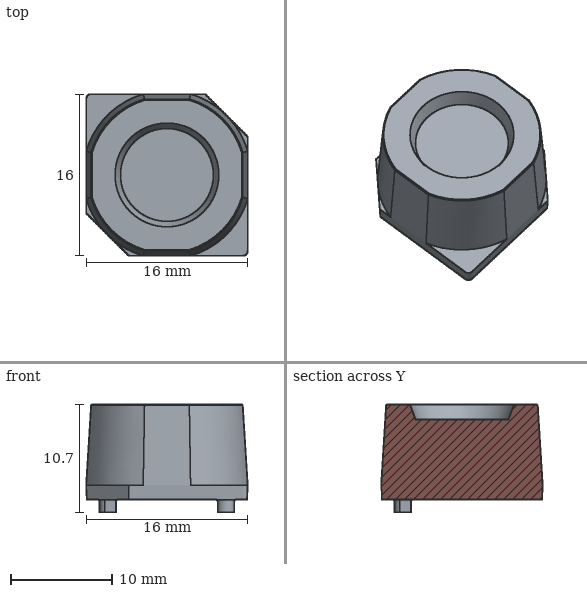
import cadquery as cq
import math

width = 16.0
total_height = 10.69

base_bottom = 1.28
base_top = 2.69
base_inset = 0.06
corner_cut = 4.2
corner_radius = 0.48

housing_height = total_height - base_top
flat_inset = 0.5
cone_inset = 0.51
housing_radius = 8.34
rim_chamfer = 0.1

recess_top_radius = 5.14
recess_floor_radius = 4.6
recess_depth = 1.47

foot_offset = 5.8
foot_radius = 0.86
foot_flat_distance = 0.32
foot_fillet = 0.2


def make_base():
    half = width / 2
    height = base_top - base_bottom
    taper = math.degrees(math.atan(base_inset / height))
    outline = [
        (-half, half),
        (half - corner_cut, half),
        (half, half - corner_cut),
        (half, -half),
        (corner_cut - half, -half),
        (-half, corner_cut - half),
    ]
    plate = cq.Workplane("XY", origin=(0, 0, base_top)).polyline(outline).close()
    plate = plate.extrude(-height, taper=taper)
    nearest_to = cq.selectors.NearestToPointSelector
    middle = (base_bottom + base_top) / 2
    for side in (-1, 1):
        plate = plate.edges(nearest_to((side * half, -side * half, middle))).fillet(corner_radius)
    return plate


def make_housing():
    flat_taper = math.degrees(math.atan(flat_inset / housing_height))
    cone_taper = math.degrees(math.atan(cone_inset / housing_height))
    floor = cq.Workplane("XY", origin=(0, 0, base_top))
    block = floor.rect(width, width).extrude(housing_height, taper=flat_taper)
    cone = floor.circle(housing_radius).extrude(housing_height, taper=cone_taper)
    return block.intersect(cone).faces(">Z").chamfer(rim_chamfer)


def make_recess():
    taper = math.degrees(math.atan((recess_top_radius - recess_floor_radius) / recess_depth))
    top = cq.Workplane("XY", origin=(0, 0, total_height))
    return top.circle(recess_top_radius).extrude(-recess_depth, taper=taper)


def add_feet(body):
    places = [(foot_offset, -foot_offset), (-foot_offset, foot_offset)]
    feet = cq.Workplane("XY").pushPoints(places).circle(foot_radius).extrude(base_bottom)
    flat_to_axis = foot_offset * math.sqrt(2) - foot_flat_distance
    inner_block = cq.Workplane("XY").rect(2 * flat_to_axis, width).extrude(base_bottom)
    feet = feet.cut(inner_block.rotate((0, 0, 0), (0, 0, 1), -45))
    body = body.union(feet)

    for x, y in places:
        root = cq.selectors.BoxSelector(
            (x - foot_radius, y - foot_radius, base_bottom - foot_fillet),
            (x + foot_radius, y + foot_radius, base_bottom + foot_fillet))
        body = body.edges(root).fillet(foot_fillet)
    return body


body = make_base().union(make_housing()).cut(make_recess())
result = add_feet(body)